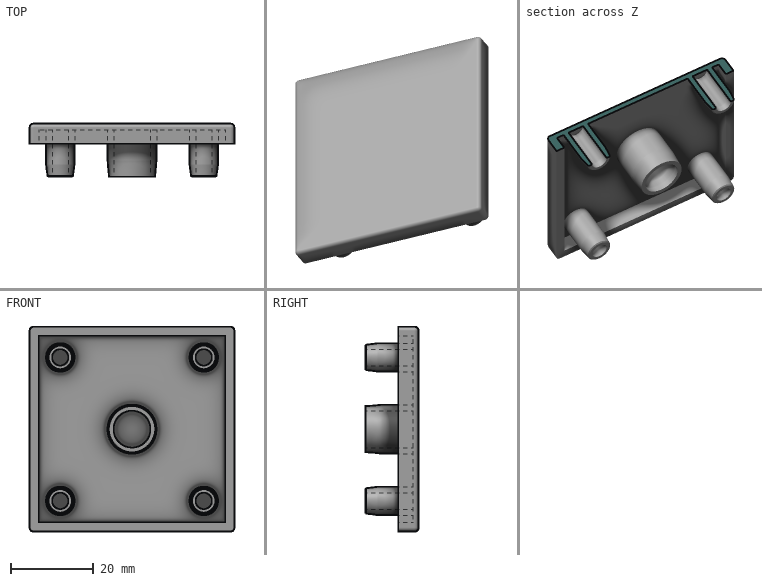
import cadquery as cq

side = 50.0
plate_thickness = 5.0
edge_radius = 1.0
rim_width = 2.25
floor_thickness = 1.5

peg_reach = 8.0
peg_spacing = 35.0
corner_diameter = 7.0
corner_tip_diameter = 6.2
corner_bore = 4.0
corner_taper = 3.0
corner_tip_chamfer = 0.25
centre_diameter = 12.0
centre_tip_diameter = 11.3
centre_bore = 9.0
centre_taper = 4.0

total_depth = plate_thickness + peg_reach
peg_height = total_depth - floor_thickness


def make_plate():
    """Tray with rounded corners and back edges, open towards +Z."""
    plate = cq.Workplane("XY").box(side, side, plate_thickness, centered=(True, True, False))
    plate = plate.edges("|Z or <Z").fillet(edge_radius)
    opening = side - 2 * rim_width
    pocket = (
        cq.Workplane("XY")
        .workplane(offset=floor_thickness)
        .rect(opening, opening)
        .extrude(plate_thickness)
    )
    return plate.cut(pocket)


def make_peg(diameter, tip_diameter, bore, taper):
    """Hollow peg with a conical tip, revolved about Z from the pocket floor."""
    return (
        cq.Workplane("XZ", origin=(0, 0, floor_thickness))
        .moveTo(bore / 2, 0)
        .lineTo(diameter / 2, 0)
        .lineTo(diameter / 2, peg_height - taper)
        .lineTo(tip_diameter / 2, peg_height)
        .lineTo(bore / 2, peg_height)
        .close()
        .revolve(360, (0, 0, 0), (0, 1, 0))
    )


cover = make_plate().union(make_peg(centre_diameter, centre_tip_diameter, centre_bore, centre_taper))
corner_peg = make_peg(corner_diameter, corner_tip_diameter, corner_bore, corner_taper)
corner_peg = corner_peg.faces(">Z").edges(cq.selectors.RadiusNthSelector(-1)).chamfer(corner_tip_chamfer)
for x in (-peg_spacing / 2, peg_spacing / 2):
    for y in (-peg_spacing / 2, peg_spacing / 2):
        cover = cover.union(corner_peg.translate((x, y, 0)))

result = cover.rotate((0, 0, 0), (1, 0, 0), 90)